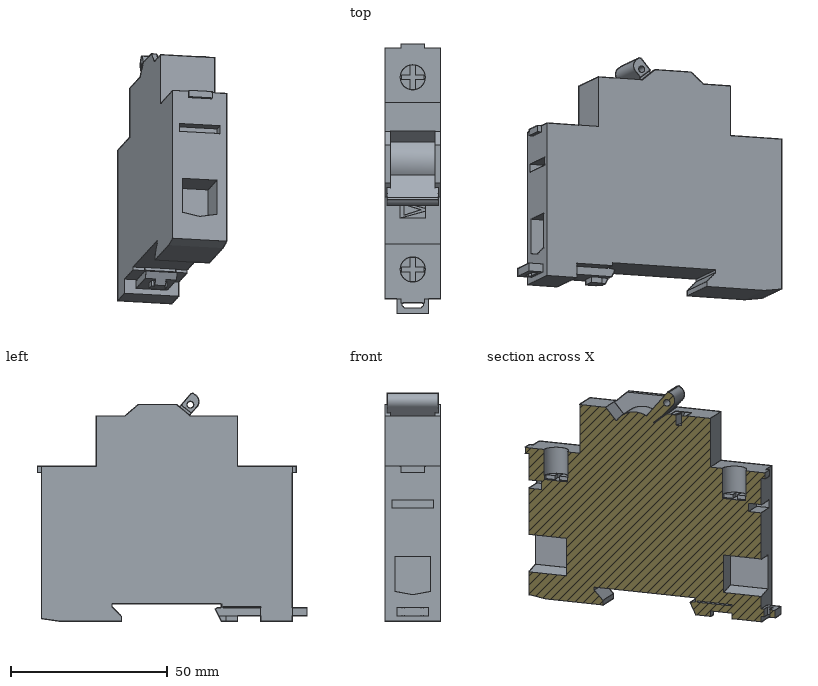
import cadquery as cq


width = 17.7
half_length = 40.0
deck_height = 49.45
tower_half_length = 22.5
tower_height = 65.5
hump_height = 69.15
hump_back = (13.3, 9.1)
hump_front = (-7.5, -3.1)

rail_ceiling = 5.6
rail_hook_y = 17.5
rail_hook_tip = (14.45, 1.6)
rail_hook_root_z = 4.7
rail_front_y = -17.6
clip_bay_ceiling = 4.65
clip_bay_end_y = -29.8
underside_bevel_length = 5.9
underside_bevel_height = 0.9

tab_width = 7.6
tab_length = 1.3
tab_height = 2.1
label_slot_width = 13.25
label_slot_height = 2.6
label_slot_bottom = 36.1
label_slot_depth = 4.3
wire_port_width = 11.2
wire_port_top = 20.7
wire_port_side_bottom = 9.55
wire_port_middle_bottom = 8.5
wire_port_depth = 12.9

screw_y = 30.6
screw_hole_diameter = 8.0
screw_head_depth = 8.6
screw_cross_depth = 1.3
screw_cross_along_y = (1.8, 7.7)
screw_cross_along_x = (1.55, 7.1)

toggle_well_width = 14.3
toggle_well_back_y = 13.5
toggle_well_floor = (9.5, 60.9)
rotor_y = 3.2
rotor_z = 56.9
rotor_radius = 8.1
arm_root = (-0.6, 64.3)
arm_end = (-7.65, 72.6)
bar_width = 16.3
bar_back_y = -4.6
bar_ridge = (-8.3, 72.75)
bar_grip_top = (-8.9, 72.3)
bar_grip_middle = (-10.2, 70.35)
bar_grip_bottom = (-9.5, 68.2)
bar_bottom = (-7.8, 66.4)
bar_hole_y = -7.5
bar_hole_z = 69.1
bar_hole_diameter = 2.1

indicator_y = -11.6
indicator_width = 8.1
indicator_length = 5.3
indicator_depth = 0.1
arrow_depth = 0.2
arrow_tip_length = 0.9
arrow_window_back_x = -2.75
arrow_window_tip_x = 2.6
arrow_window_length = 3.4
arrow_window_depth = 3.4

clip_width = 10.15
clip_bottom = 1.8
clip_top = 4.4
clip_end_y = -44.7
clip_nose = (-15.4, 3.95)
clip_nose_top_y = -16.1
clip_toe_y = -17.4
clip_foot_y = -18.9
clip_foot_end_y = -22.5
clip_toe_width = 3.4
clip_foot_width = 5.2
clip_slot_length = 6.7
clip_slot_width = 1.9
clip_slot_wall = 1.9
clip_slot_chamfer = 0.7
clip_spring_y = -17.2
clip_spring_length = 0.8


def side_prism(points, thickness):
    """Extrude a (Y, Z) outline across the width, centred on X = 0."""
    return cq.Workplane("YZ").polyline(points).close().extrude(thickness / 2, both=True)


def block(size_x, y_range, z_range):
    """Box centred on X = 0 between two Y and two Z positions."""
    y_low, y_high = sorted(y_range)
    z_low, z_high = sorted(z_range)
    return cq.Workplane("XY").box(
        size_x, y_high - y_low, z_high - z_low, centered=(True, False, False)
    ).translate((0, y_low, z_low))


def make_housing():
    outline = [
        (half_length - underside_bevel_length, 0),
        (half_length, underside_bevel_height),
        (half_length, deck_height),
        (tower_half_length, deck_height),
        (tower_half_length, tower_height),
        (hump_back[0], tower_height),
        (hump_back[1], hump_height),
        (hump_front[1], hump_height),
        (hump_front[0], tower_height),
        (-tower_half_length, tower_height),
        (-tower_half_length, deck_height),
        (-half_length, deck_height),
        (-half_length, 0),
        (clip_bay_end_y, 0),
        (clip_bay_end_y, clip_bay_ceiling),
        (rail_front_y, clip_bay_ceiling),
        (rail_front_y, rail_ceiling),
        (rail_hook_y, rail_ceiling),
        (rail_hook_y, rail_hook_root_z),
        rail_hook_tip,
        (rail_hook_tip[0], 0),
    ]
    return side_prism(outline, width)


def make_end_tab(end):
    return block(
        tab_width,
        (end * (half_length - tab_length), end * (half_length + tab_length)),
        (deck_height - tab_height, deck_height),
    )


def make_end_openings(end):
    """Label slot and wire port on one end face; end is +1 or -1."""
    slot = block(
        label_slot_width,
        (end * half_length, end * (half_length - label_slot_depth)),
        (label_slot_bottom, label_slot_bottom + label_slot_height),
    )
    half_port = wire_port_width / 2
    port_outline = [
        (-half_port, wire_port_top),
        (half_port, wire_port_top),
        (half_port, wire_port_side_bottom),
        (0, wire_port_middle_bottom),
        (-half_port, wire_port_side_bottom),
    ]
    port = (
        cq.Workplane("XZ", origin=(0, end * half_length, 0))
        .polyline(port_outline)
        .close()
        .extrude(end * wire_port_depth)
    )
    return slot.union(port)


def make_screw_recess(end):
    """Terminal hole ending at a screw head with a cross recess."""
    head_z = deck_height - screw_head_depth
    hole = cq.Workplane("XY", origin=(0, end * screw_y, head_z)).circle(screw_hole_diameter / 2)
    recess = hole.extrude(screw_head_depth)
    cross = cq.Workplane("XY", origin=(0, end * screw_y, head_z))
    slot_along_y = cross.rect(*screw_cross_along_y).extrude(-screw_cross_depth)
    slot_along_x = cross.rect(*reversed(screw_cross_along_x)).extrude(-screw_cross_depth)
    return recess.union(slot_along_y).union(slot_along_x)


def make_toggle_well():
    outline = [
        (toggle_well_back_y, tower_height),
        toggle_well_floor,
        (rotor_y, rotor_z),
        (hump_front[0], tower_height),
        (hump_front[0], hump_height),
        (toggle_well_back_y, hump_height),
    ]
    return side_prism(outline, toggle_well_width)


def make_toggle():
    back_slope = (arm_end[1] - arm_root[1]) / (arm_end[0] - arm_root[0])
    bar_back = (bar_back_y, arm_root[1] + back_slope * (bar_back_y - arm_root[0]))
    front_slope = (bar_grip_bottom[1] - bar_bottom[1]) / (bar_grip_bottom[0] - bar_bottom[0])
    arm_bottom_y = bar_bottom[0] + (tower_height - bar_bottom[1]) / front_slope
    rotor = (
        cq.Workplane("YZ")
        .center(rotor_y, rotor_z)
        .circle(rotor_radius)
        .extrude(toggle_well_width / 2, both=True)
    )
    arm = side_prism(
        [arm_root, bar_back, bar_bottom, (arm_bottom_y, tower_height), (rotor_y, rotor_z)],
        toggle_well_width,
    )
    bar = (
        cq.Workplane("YZ")
        .moveTo(*bar_back)
        .lineTo(*arm_end)
        .lineTo(*bar_ridge)
        .lineTo(*bar_grip_top)
        .threePointArc(bar_grip_middle, bar_grip_bottom)
        .lineTo(*bar_bottom)
        .close()
        .extrude(bar_width / 2, both=True)
    )
    hole = (
        cq.Workplane("YZ")
        .center(bar_hole_y, bar_hole_z)
        .circle(bar_hole_diameter / 2)
        .extrude(bar_width, both=True)
    )
    return rotor.union(arm).union(bar).cut(hole)


def make_indicator():
    """Shallow rectangle with an arrow sunk into it and a deep triangular window in the arrow."""
    top = cq.Workplane("XY", origin=(0, indicator_y, tower_height))
    half_width = indicator_width / 2
    half_base = indicator_length / 2
    half_tip = arrow_tip_length / 2
    arrow = (
        top.polyline(
            [
                (-half_width, -half_base),
                (half_width, -half_tip),
                (half_width, half_tip),
                (-half_width, half_base),
            ]
        )
        .close()
        .extrude(-arrow_depth)
    )
    window = (
        top.polyline(
            [
                (arrow_window_back_x, -arrow_window_length / 2),
                (arrow_window_tip_x, 0),
                (arrow_window_back_x, arrow_window_length / 2),
            ]
        )
        .close()
        .extrude(-arrow_window_depth)
    )
    panel = top.rect(indicator_width, indicator_length).extrude(-indicator_depth)
    return panel.union(arrow).union(window)


def make_clip():
    nose_slope = (clip_toe_y - clip_nose[0]) / clip_nose[1]
    nose_bottom_y = clip_toe_y - nose_slope * clip_bottom
    slide = side_prism(
        [
            clip_nose,
            (clip_nose_top_y, clip_top),
            (clip_end_y, clip_top),
            (clip_end_y, clip_bottom),
            (nose_bottom_y, clip_bottom),
        ],
        clip_width,
    )
    toe = side_prism(
        [
            (nose_bottom_y, clip_bottom),
            (clip_toe_y, 0),
            (clip_foot_y, 0),
            (clip_foot_y, clip_bottom),
        ],
        clip_toe_width,
    )
    foot = block(clip_foot_width, (clip_foot_y, clip_foot_end_y), (0, clip_bottom))
    spring = block(
        clip_width, (clip_spring_y, clip_spring_y - clip_spring_length), (clip_top, rail_ceiling)
    )
    slot_y = clip_end_y + clip_slot_wall + clip_slot_width / 2
    pull_slot = (
        cq.Workplane("XY", origin=(0, slot_y, clip_bottom))
        .rect(clip_slot_length, clip_slot_width)
        .extrude(clip_top - clip_bottom)
        .edges("|Z")
        .chamfer(clip_slot_chamfer)
    )
    return slide.union(toe).union(foot).union(spring).cut(pull_slot)


result = make_housing()
for end in (1, -1):
    result = result.union(make_end_tab(end))
    result = result.cut(make_end_openings(end)).cut(make_screw_recess(end))
result = result.cut(make_toggle_well()).union(make_toggle())
result = result.cut(make_indicator()).union(make_clip())